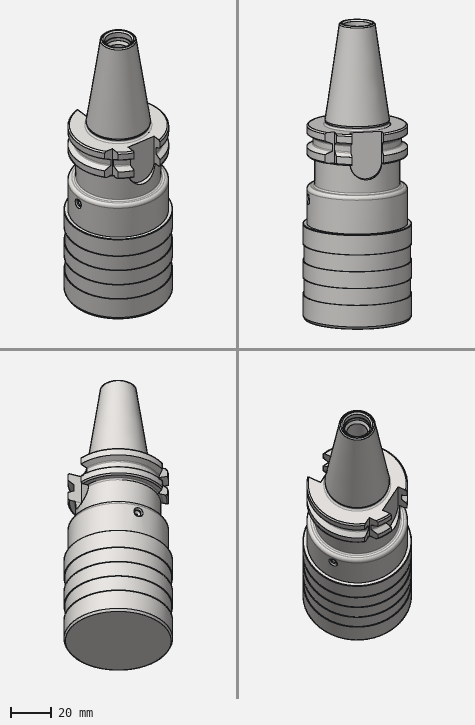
import cadquery as cq
import math

total_height = 149.8
gauge_z = 101.7
flange_bottom_z = 82.7
flange_top_z = 98.4
body_top_z = 67.3
nut_top_z = 48.1

nut_radius = 27.0
nut_relief = 0.5
nut_bottom_chamfer_radial = 0.7
nut_bottom_chamfer_height = 1.3
nut_top_chamfer = 0.3
first_band_z = 12.3
band_height = 8.5
band_step_count = 4

body_radius = 25.0
body_fillet = 2.0
neck_radius = 21.1
neck_fillet = 0.7

flange_radius = 25.0
flange_chamfer = 0.7
groove_radius = 22.0
groove_mid_z = 90.6
groove_floor_height = 3.6
groove_root_fillet = 0.6
groove_flank_height = (flange_radius - groove_radius) * math.tan(math.radians(30))

gauge_radius = 15.9
taper_slope = 3.5 / 24
taper_bottom_z = 100.7
shank_root_radius = 15.7
shank_root_fillet = 0.9
shank_root_height = 0.5
shank_top_chamfer = 0.6

stud_mouth_radius = 7.6
stud_mouth_depth = 0.7
stud_bore_radius = 6.7
stud_bore_depth = 3.6
stud_pilot_radius = 6.5
stud_pilot_depth = 5.4
stud_hole_radius = 5.2
stud_seat_height = 1.5
stud_hole_depth = 33.0
drill_tip_height = stud_hole_radius * math.tan(math.radians(30))

slot_width = 16.0
slot_floor_left = 16.3
slot_floor_right = 18.7
notch_offset = 15.1

port_z = 61.4
port_mouth_radius = 2.5
port_bore_radius = 1.8
port_mouth_depth = port_mouth_radius - port_bore_radius
port_bore_depth = 1.5
port_hole_radius = 0.6
port_seat_depth = port_bore_depth + port_bore_radius - port_hole_radius
port_hole_depth = 4.5


def taper_radius(z):
    """Radius of the 7:24 taper at height z."""
    return gauge_radius - (z - gauge_z) * taper_slope


def band_edges():
    """Profile points of the steps between the nut bands, bottom to top."""
    relieved_radius = nut_radius - nut_relief
    points = []
    for i in range(band_step_count):
        z = first_band_z + i * band_height
        step = [(nut_radius, z), (relieved_radius, z)]
        points += step if i % 2 == 0 else step[::-1]
    return points


def turned_blank():
    """Revolved outside shape of the whole holder, before the flange groove is cut."""
    shank_chamfer_z = total_height - shank_top_chamfer
    shank_root_z = flange_top_z + shank_root_fillet
    profile = (
        cq.Workplane("XZ")
        .lineTo(nut_radius - nut_bottom_chamfer_radial, 0)
        .lineTo(nut_radius, nut_bottom_chamfer_height)
    )
    for point in band_edges():
        profile = profile.lineTo(*point)
    profile = (
        profile
        .lineTo(nut_radius, nut_top_z - nut_top_chamfer)
        .lineTo(nut_radius - nut_top_chamfer, nut_top_z)
        .lineTo(body_radius, nut_top_z)
        .lineTo(body_radius, body_top_z - body_fillet)
        .radiusArc((body_radius - body_fillet, body_top_z), -body_fillet)
        .lineTo(neck_radius + neck_fillet, body_top_z)
        .radiusArc((neck_radius, body_top_z + neck_fillet), neck_fillet)
        .lineTo(neck_radius, flange_bottom_z - neck_fillet)
        .radiusArc((neck_radius + neck_fillet, flange_bottom_z), neck_fillet)
        .lineTo(flange_radius - flange_chamfer, flange_bottom_z)
        .lineTo(flange_radius, flange_bottom_z + flange_chamfer)
        .lineTo(flange_radius, flange_top_z - flange_chamfer)
        .lineTo(flange_radius - flange_chamfer, flange_top_z)
        .lineTo(shank_root_radius + shank_root_fillet, flange_top_z)
        .radiusArc((shank_root_radius, shank_root_z), shank_root_fillet)
        .lineTo(shank_root_radius, shank_root_z + shank_root_height)
        .lineTo(taper_radius(taper_bottom_z), taper_bottom_z)
        .lineTo(taper_radius(shank_chamfer_z), shank_chamfer_z)
        .lineTo(taper_radius(total_height) - shank_top_chamfer, total_height)
        .lineTo(0, total_height)
        .close()
    )
    return profile.revolve(360, (0, 0, 0), (0, 1, 0))


def gripper_groove():
    """Ring cutter for the V groove, with rounded roots at its flat floor."""
    half_floor = groove_floor_height / 2
    half_mouth = half_floor + groove_flank_height
    ring = (
        cq.Workplane("XZ")
        .moveTo(groove_radius, groove_mid_z - half_floor)
        .lineTo(flange_radius, groove_mid_z - half_mouth)
        .lineTo(nut_radius, groove_mid_z - half_mouth)
        .lineTo(nut_radius, groove_mid_z + half_mouth)
        .lineTo(flange_radius, groove_mid_z + half_mouth)
        .lineTo(groove_radius, groove_mid_z + half_floor)
        .close()
        .revolve(360, (0, 0, 0), (0, 1, 0))
    )
    return ring.edges(cq.selectors.RadiusNthSelector(0)).fillet(groove_root_fillet)


def pull_stud_hole():
    """Revolved cutter: chamfered counterbore, pilot, conical seat and blind drilled hole."""
    bore_floor_z = total_height - stud_bore_depth
    pilot_end_z = total_height - stud_pilot_depth
    hole_end_z = total_height - stud_hole_depth
    return (
        cq.Workplane("XZ")
        .moveTo(0, total_height)
        .lineTo(stud_mouth_radius, total_height)
        .lineTo(stud_bore_radius, total_height - stud_mouth_depth)
        .lineTo(stud_bore_radius, bore_floor_z)
        .lineTo(stud_pilot_radius, bore_floor_z)
        .lineTo(stud_pilot_radius, pilot_end_z)
        .lineTo(stud_hole_radius, pilot_end_z - stud_seat_height)
        .lineTo(stud_hole_radius, hole_end_z)
        .lineTo(0, hole_end_z - drill_tip_height)
        .close()
        .revolve(360, (0, 0, 0), (0, 1, 0))
    )


def drive_slot(side, floor):
    """Round-bottomed slot cutter outside x = floor on the given side (-1 or +1)."""
    half_width = slot_width / 2
    return (
        cq.Workplane("YZ", origin=(side * floor, 0, 0))
        .moveTo(-half_width, flange_top_z)
        .lineTo(-half_width, flange_bottom_z)
        .threePointArc((0, flange_bottom_z - half_width), (half_width, flange_bottom_z))
        .lineTo(half_width, flange_top_z)
        .close()
        .extrude(side * nut_radius)
    )


def orientation_notch():
    """Square corner cut through the full flange height on the +X, -Y side."""
    return cq.Workplane("XY").box(
        flange_radius, flange_radius, flange_top_z - flange_bottom_z, centered=False
    ).translate((notch_offset, -notch_offset - flange_radius, flange_bottom_z))


def front_port():
    """Revolved cutter on the -Y side: countersink, short bore, conical seat and small blind hole."""
    return (
        cq.Workplane("XY", origin=(0, -body_radius, port_z))
        .lineTo(port_mouth_radius, 0)
        .lineTo(port_bore_radius, port_mouth_depth)
        .lineTo(port_bore_radius, port_bore_depth)
        .lineTo(port_hole_radius, port_seat_depth)
        .lineTo(port_hole_radius, port_hole_depth)
        .lineTo(0, port_hole_depth)
        .close()
        .revolve(360, (0, 0, 0), (0, 1, 0))
    )


result = (
    turned_blank()
    .cut(gripper_groove())
    .cut(pull_stud_hole())
    .cut(drive_slot(-1, slot_floor_left))
    .cut(drive_slot(1, slot_floor_right))
    .cut(orientation_notch())
    .cut(front_port())
)